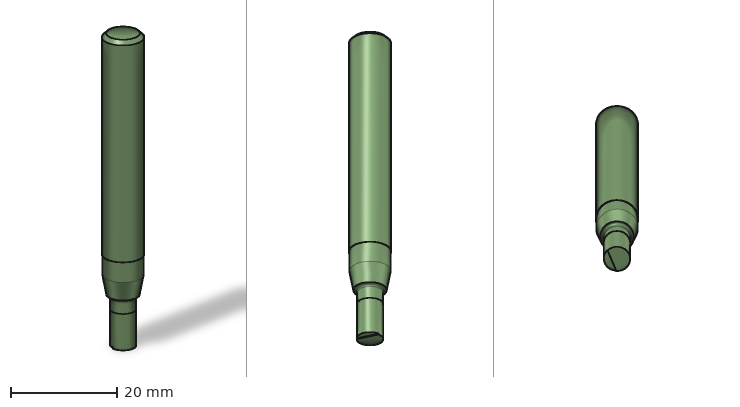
import cadquery as cq
import math

TOTAL_LENGTH = 64.0
SHANK_DIAMETER = 8.0
COLLAR_DIAMETER = 7.9
NECK_DIAMETER = 5.0
CONE_END_DIAMETER = 6.35
SHANK_CHAMFER = 0.8
NECK_FILLET = 0.5
END_STEP_HEIGHT = 0.2
END_STEP_X = -1.0

CUTTING_LENGTH = 7.5
CONE_BOTTOM_Z = 10.5
CONE_TOP_Z = 14.6
COLLAR_TOP_Z = 18.7

shank_radius = SHANK_DIAMETER / 2
collar_radius = COLLAR_DIAMETER / 2
neck_radius = NECK_DIAMETER / 2
cone_end_radius = CONE_END_DIAMETER / 2


def make_holder():
    """Revolved shank, collar, cone and neck, ending where the cutting tip starts."""
    fillet_mid_offset = NECK_FILLET * (1 - math.sqrt(0.5))
    fillet_middle = (neck_radius + fillet_mid_offset, CONE_BOTTOM_Z - fillet_mid_offset)
    return (
        cq.Workplane("XZ")
        .moveTo(0, CUTTING_LENGTH)
        .lineTo(neck_radius, CUTTING_LENGTH)
        .lineTo(neck_radius, CONE_BOTTOM_Z - NECK_FILLET)
        .threePointArc(fillet_middle, (neck_radius + NECK_FILLET, CONE_BOTTOM_Z))
        .lineTo(cone_end_radius, CONE_BOTTOM_Z)
        .lineTo(collar_radius, CONE_TOP_Z)
        .lineTo(collar_radius, COLLAR_TOP_Z)
        .lineTo(shank_radius, COLLAR_TOP_Z)
        .lineTo(shank_radius, TOTAL_LENGTH - SHANK_CHAMFER)
        .lineTo(shank_radius - SHANK_CHAMFER, TOTAL_LENGTH)
        .lineTo(0, TOTAL_LENGTH)
        .close()
        .revolve(360, (0, 0, 0), (0, 1, 0))
    )


def make_cutting_tip():
    """Plain cylinder whose end face is stepped up slightly on its -X side."""
    step_length = neck_radius + END_STEP_X
    blank = cq.Workplane("XY").circle(neck_radius).extrude(CUTTING_LENGTH)
    step = (
        cq.Workplane("XY")
        .center(END_STEP_X - step_length / 2, 0)
        .rect(step_length, NECK_DIAMETER)
        .extrude(END_STEP_HEIGHT)
    )
    return blank.cut(step)


holder = make_holder()
cutting_tip = make_cutting_tip()

result = cq.Compound.makeCompound([holder.val(), cutting_tip.val()])